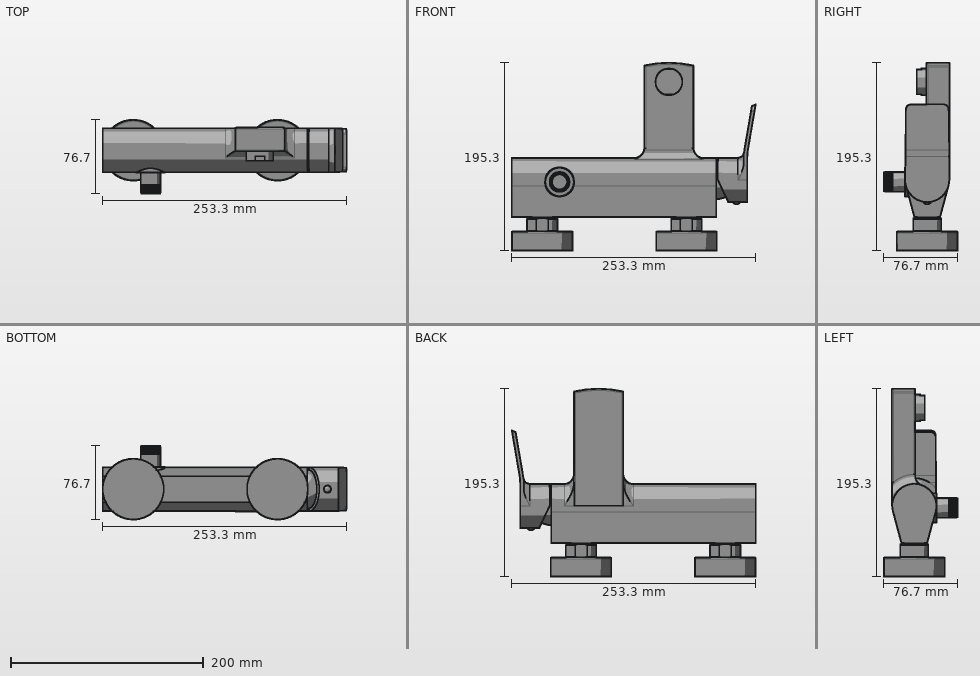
import cadquery as cq
import math

body_length = 212.5
body_width = 45.8
body_radius = body_width / 2
axis_height = 73.5
base_height = 35.0
flank_angle = math.radians(15)

spout_center_x = 163.0
spout_width = 51.5
spout_left = spout_center_x - spout_width / 2
spout_right = spout_center_x + spout_width / 2
spout_front_y = -1.0
spout_back_y = 23.5
spout_shoulder_height = 192.3
spout_top_height = 195.3
spout_edge_radius = 1.5
flare_radius = 10.1

nozzle_height = 175.3
nozzle_radius = 14.0
nozzle_front_y = -11.0
nozzle_across_flats = 26.0
nozzle_flat_length = 4.8

shower_x = 49.6
shower_height = 71.5
collar_radius = 15.2
collar_front_y = -23.3
collar_chamfer = 0.5
pipe_radius = 10.5
pipe_front_y = -45.0
pipe_end_radius = 10.0
thread_depth = 1.0
thread_pitch = 1.5
thread_turns = 6
pipe_recess_radius = 7.9
pipe_recess_depth = 0.5

connection_spacing = 149.7
flange_radius = 31.7
flange_height = 20.0
flange_edge_radius = 1.3
nut_radius = 16.0
nut_top_height = 33.7
nut_flat_half_width = 14.7
nut_chamfer = 0.8
neck_radius = 10.6

ball_radius = 20.0

overall_length = 253.3
hub_start_x = 214.0
hub_relief_end_x = 224.7
lever_inner_x = 241.0
lever_thickness = 3.8
lever_outer_x = lever_inner_x + lever_thickness
lever_angle = math.radians(9.7)
lever_bend_height = 98.0
lever_bend_radius = 44.3
lever_top_half_width = 22.3
lever_tip_drop = 1.8
lever_corner_radius = 5.0
lever_fillet_radius = 6.0
button_x = 233.3
button_radius = 4.0
button_projection = 2.4

margin = 2.5


def cylinder_y(x, z, radius, y_from, y_to):
    """Cylinder along Y between two Y positions."""
    start = cq.Vector(x, y_from, z)
    return cq.Workplane(cq.Solid.makeCylinder(radius, y_to - y_from, start, cq.Vector(0, 1, 0)))


def box_between(low, high):
    """Box spanning two opposite corners."""
    size = [b - a for a, b in zip(low, high)]
    return cq.Workplane("XY").box(*size, centered=False).translate(low)


def ball():
    """Ball centred on the end face of the bar."""
    return cq.Workplane("XY").sphere(ball_radius).translate((body_length, 0, axis_height))


def bar():
    tangent_y = body_radius * math.cos(flank_angle)
    tangent_z = axis_height - body_radius * math.sin(flank_angle)
    base_half_width = tangent_y - (tangent_z - base_height) * math.tan(flank_angle)
    return (
        cq.Workplane("YZ")
        .moveTo(-base_half_width, base_height)
        .lineTo(-tangent_y, tangent_z)
        .threePointArc((0, axis_height + body_radius), (tangent_y, tangent_z))
        .lineTo(base_half_width, base_height)
        .close()
        .extrude(body_length)
    )


def spout():
    block = (
        cq.Workplane("XZ", origin=(0, spout_back_y, 0))
        .moveTo(spout_left, axis_height)
        .lineTo(spout_left, spout_shoulder_height)
        .threePointArc((spout_center_x, spout_top_height), (spout_right, spout_shoulder_height))
        .lineTo(spout_right, axis_height)
        .close()
        .extrude(spout_back_y - spout_front_y)
    )
    return block.edges("not <Z").fillet(spout_edge_radius)


def spout_flare():
    """Concave blend from the bar to the spout, mitred at the two front corners."""
    reach = body_radius + flare_radius
    arc_offset = flare_radius * (1 - math.sqrt(0.5))

    bell = (
        cq.Workplane("XZ", origin=(0, 0, axis_height))
        .moveTo(spout_left - flare_radius, 0)
        .lineTo(spout_left - flare_radius, body_radius)
        .threePointArc((spout_left - arc_offset, body_radius + arc_offset), (spout_left, reach))
        .lineTo(spout_right, reach)
        .threePointArc(
            (spout_right + arc_offset, body_radius + arc_offset),
            (spout_right + flare_radius, body_radius),
        )
        .lineTo(spout_right + flare_radius, 0)
        .close()
        .revolve(360, (0, 0, 0), (1, 0, 0))
    )

    arc_center_y = spout_front_y - flare_radius
    arc_center_z = math.sqrt(reach**2 - arc_center_y**2)
    touch_y = arc_center_y * body_radius / reach
    touch_z = arc_center_z * body_radius / reach
    middle_angle = math.atan2(touch_z - arc_center_z, touch_y - arc_center_y) / 2
    arc_middle = (
        arc_center_y + flare_radius * math.cos(middle_angle),
        arc_center_z + flare_radius * math.sin(middle_angle),
    )
    front_blend = (
        cq.Workplane("YZ", origin=(spout_left - flare_radius, 0, axis_height))
        .moveTo(0, 0)
        .lineTo(touch_y, touch_z)
        .threePointArc(arc_middle, (spout_front_y, arc_center_z))
        .lineTo(spout_front_y, reach)
        .lineTo(body_radius, reach)
        .lineTo(body_radius, 0)
        .close()
        .extrude(spout_width + 2 * flare_radius)
    )
    return bell.intersect(front_blend)


def nozzle():
    tube = cylinder_y(spout_center_x, nozzle_height, nozzle_radius, nozzle_front_y, spout_back_y / 2)
    flat_y = nozzle_front_y + nozzle_flat_length
    for side in (-1, 1):
        flat_z = nozzle_height + side * nozzle_across_flats / 2
        edge_z = nozzle_height + side * (nozzle_radius + margin)
        tube = tube.cut(
            box_between(
                (spout_center_x - nozzle_radius, nozzle_front_y - margin, min(flat_z, edge_z)),
                (spout_center_x + nozzle_radius, flat_y, max(flat_z, edge_z)),
            )
        )
    return tube


def shower_connection():
    """Collar and threaded pipe, turned about one axis parallel to Y."""
    collar = cylinder_y(shower_x, shower_height, collar_radius, collar_front_y, 0)
    collar = collar.faces("<Y").chamfer(collar_chamfer)

    root_radius = pipe_radius - thread_depth
    thread_start_y = pipe_front_y + thread_turns * thread_pitch
    outline = [(0, 0), (pipe_radius, 0), (pipe_radius, thread_start_y)]
    for turn in range(thread_turns):
        crest_y = thread_start_y - turn * thread_pitch
        outline.append((root_radius, crest_y - thread_pitch / 2))
        outline.append((pipe_radius, crest_y - thread_pitch))
    outline[-1] = (pipe_end_radius, pipe_front_y)
    outline += [
        (pipe_recess_radius, pipe_front_y),
        (pipe_recess_radius, pipe_front_y + pipe_recess_depth),
        (0, pipe_front_y + pipe_recess_depth),
    ]
    pipe = (
        cq.Workplane("XY")
        .polyline(outline)
        .close()
        .revolve(360, (0, 0, 0), (0, 1, 0))
        .translate((shower_x, 0, shower_height))
    )
    return collar.union(pipe)


def wall_connection(x):
    flange = cq.Workplane("XY").circle(flange_radius).extrude(flange_height)
    flange = flange.faces(">Z").edges().fillet(flange_edge_radius)
    nut = (
        cq.Workplane("XY", origin=(0, 0, flange_height))
        .circle(nut_radius)
        .extrude(nut_top_height - flange_height)
        .faces("<Z or >Z")
        .chamfer(nut_chamfer)
    )
    flats = cq.Workplane("XY").box(2 * nut_radius, 2 * nut_flat_half_width, 2 * nut_top_height)
    neck = cq.Workplane("XY").circle(neck_radius).extrude(base_height)
    return flange.union(nut.intersect(flats)).union(neck).translate((x, 0, 0))


def make_body():
    body = bar().union(spout_flare()).union(spout()).union(nozzle()).union(shower_connection())
    for index in range(2):
        body = body.union(wall_connection(flange_radius + index * connection_spacing))
    return body.union(ball())


def hub():
    """Cylinder of the handle, cut away below the axis so that the handle can tilt."""
    cylinder = (
        cq.Workplane("YZ", origin=(hub_start_x, 0, axis_height))
        .circle(body_radius)
        .extrude(lever_outer_x - hub_start_x)
    )
    relief = (
        cq.Workplane("XZ", origin=(0, body_radius, axis_height))
        .polyline([(hub_start_x, 0), (hub_relief_end_x, -body_radius), (hub_start_x, -body_radius)])
        .close()
        .extrude(2 * body_radius)
    )
    return cylinder.cut(relief)


def lever():
    """Plate that rises from the hub and bends outwards, narrowing slightly to a rounded end."""
    outer_bend_radius = lever_bend_radius - lever_thickness
    bend_center_x = lever_inner_x + lever_bend_radius

    def bend_point(radius, angle):
        return (bend_center_x - radius * math.cos(angle), lever_bend_height + radius * math.sin(angle))

    inner_bend_end = bend_point(lever_bend_radius, lever_angle)
    outer_bend_end = bend_point(outer_bend_radius, lever_angle)
    tip_height = outer_bend_end[1] + (overall_length - outer_bend_end[0]) / math.tan(lever_angle)
    inner_tip_height = tip_height - lever_tip_drop
    inner_tip_x = inner_bend_end[0] + (inner_tip_height - inner_bend_end[1]) * math.tan(lever_angle)

    plate = (
        cq.Workplane("XZ", origin=(0, body_radius, 0))
        .moveTo(lever_inner_x, axis_height)
        .lineTo(lever_inner_x, lever_bend_height)
        .threePointArc(bend_point(lever_bend_radius, lever_angle / 2), inner_bend_end)
        .lineTo(inner_tip_x, inner_tip_height)
        .lineTo(overall_length, tip_height)
        .lineTo(*outer_bend_end)
        .threePointArc(bend_point(outer_bend_radius, lever_angle / 2), (lever_outer_x, lever_bend_height))
        .lineTo(lever_outer_x, axis_height)
        .close()
        .extrude(2 * body_radius)
    )
    arc_offset = lever_fillet_radius * (1 - math.sqrt(0.5))
    collar = (
        cq.Workplane("XZ", origin=(0, 0, axis_height))
        .moveTo(lever_inner_x - lever_fillet_radius, 0)
        .lineTo(lever_inner_x - lever_fillet_radius, body_radius)
        .threePointArc(
            (lever_inner_x - arc_offset, body_radius + arc_offset),
            (lever_inner_x, body_radius + lever_fillet_radius),
        )
        .lineTo(lever_inner_x + lever_thickness / 2, body_radius + lever_fillet_radius)
        .lineTo(lever_inner_x + lever_thickness / 2, 0)
        .close()
        .revolve(360, (0, 0, 0), (1, 0, 0))
    )
    side_outline = (
        cq.Workplane("YZ", origin=(hub_start_x, 0, 0))
        .polyline(
            [
                (-body_radius, axis_height),
                (-lever_top_half_width, tip_height),
                (lever_top_half_width, tip_height),
                (body_radius, axis_height),
            ]
        )
        .close()
        .extrude(overall_length - hub_start_x)
    )
    plate = plate.intersect(side_outline)
    plate = plate.faces(">Z").edges("<Y or >Y").fillet(lever_corner_radius)
    return plate.union(collar.intersect(side_outline))


def make_handle():
    button_z = axis_height - body_radius - button_projection + button_radius
    button = cq.Workplane("XY").sphere(button_radius).translate((button_x, 0, button_z))
    return hub().union(lever()).union(button).cut(ball())


body = make_body()
handle = make_handle()
result = cq.Compound.makeCompound([body.solids().val(), handle.solids().val()])